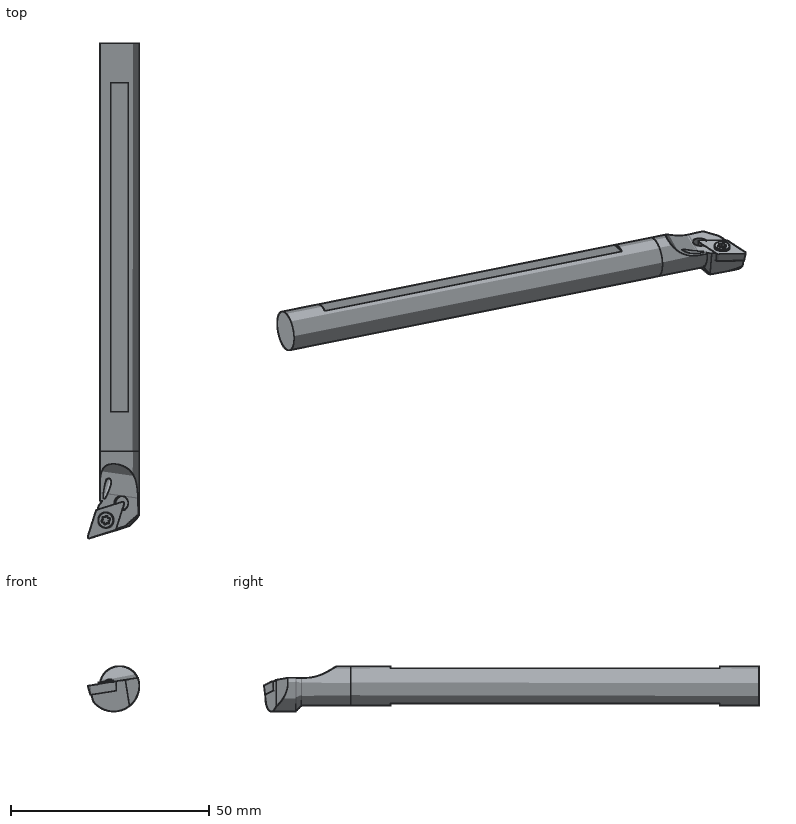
import cadquery as cq
import math


overall_length = 125.02
bar_radius = 5.0
head_length = 22.0
flat_length = 83.0
flat_end_margin = 10.0
flat_depth = 0.5

nose_radius = 6.5
nose_offset = bar_radius - nose_radius
nose_start = 8.0
nose_blend_length = 1.5

tip_reach = 8.06
lead_angle = 17.5
point_angle = 55.0
inscribed_circle = 6.35
insert_thickness = 2.38
clearance_angle = 7.0
corner_radius = 0.4
screw_hole_diameter = 2.8
countersink_diameter = 4.0
countersink_depth = 0.6

top_face_tilt = 9.0

left_wall_inset = 0.3
left_wall_lean = 6.0
left_wall_length = 8.9
rear_wall_angle = 52.0
corner_chamfer_start = 10.4
corner_chamfer_angle = 24.0
corner_relief_diameter = 3.6
corner_relief_inset_x = 1.1
corner_relief_inset_y = 0.25
pocket_radius = 10.0
pocket_distance = 10.9
pocket_skew = -8.0
coolant_diameter = 1.5
coolant_height = 1.0
coolant_x = -2.7
coolant_y = 14.5
coolant_angle = 73.0
coolant_rise = 5.0
coolant_front_run = 8.0
coolant_back_run = 9.0

head_diameter = 3.8
screw_diameter = 2.5
head_height = 0.4
screw_length = 5.0
socket_core_diameter = 1.5
socket_lobe_diameter = 0.7
socket_depth = 1.0
socket_lobes = 6

through_clearance = 1.0
beyond = 30.0

point_rad = math.radians(point_angle)
edge_length = inscribed_circle / math.sin(point_rad)
long_diagonal = 2 * edge_length * math.cos(point_rad / 2)
clearance_inset = insert_thickness * math.tan(math.radians(clearance_angle))

lead_rad = math.radians(lead_angle)
bisector_rad = lead_rad + point_rad / 2
corner_to_centre = corner_radius / math.sin(point_rad / 2)
sharp_x = -tip_reach - corner_to_centre * math.cos(bisector_rad) + corner_radius
sharp_y = corner_radius - corner_to_centre * math.sin(bisector_rad)

top_face_slope = math.tan(math.radians(top_face_tilt))


def tilted_direction(angle):
    """Direction lying in the tilted top face, at a plan angle in degrees from +X."""
    x = math.cos(math.radians(angle))
    y = math.sin(math.radians(angle))
    return cq.Vector(x, y, top_face_slope * x)


tilted_normal = cq.Vector(-top_face_slope, 0, 1).normalized()
insert_plane = cq.Plane(
    origin=(sharp_x, sharp_y, 0), xDir=tilted_direction(lead_angle), normal=tilted_normal
)
insert_centre = (
    long_diagonal / 2 * math.cos(point_rad / 2),
    long_diagonal / 2 * math.sin(point_rad / 2),
)


def along_bar(x, y):
    """Work plane across the bar, facing the rear, at the given X and Y."""
    return cq.Workplane(cq.Plane(origin=(x, y, 0), xDir=(1, 0, 0), normal=(0, 1, 0)))


def on_insert(height=0.0):
    return cq.Workplane(insert_plane).workplane(offset=height)


def make_shank():
    length = overall_length - head_length
    shank = along_bar(0, head_length).circle(bar_radius).extrude(length)
    flat_middle = overall_length - flat_end_margin - flat_length / 2
    for side in (1, -1):
        flat = cq.Workplane("XY").box(2 * bar_radius, flat_length, 2 * flat_depth)
        shank = shank.cut(flat.translate((0, flat_middle, side * bar_radius)))
    return shank


def insert_blank():
    """Rhombic insert without its hole, tapering down from the top face."""
    shift = edge_length * math.cos(point_rad)
    rhombus = (
        cq.Sketch()
        .polygon(
            [
                (0, 0),
                (edge_length, 0),
                (edge_length + shift, inscribed_circle),
                (shift, inscribed_circle),
                (0, 0),
            ]
        )
        .vertices()
        .fillet(corner_radius)
    )
    return on_insert().placeSketch(rhombus).extrude(-insert_thickness, taper=clearance_angle)


def countersunk_body(head_width, stem_width, length):
    """Countersunk head flush with the top face, on a stem."""
    profile = [
        (0, 0),
        (head_width / 2, 0),
        (stem_width / 2, -countersink_depth),
        (stem_width / 2, -length),
        (0, -length),
    ]
    axis_plane = cq.Plane(
        origin=insert_plane.toWorldCoords(insert_centre),
        xDir=insert_plane.xDir,
        normal=insert_plane.yDir * -1,
    )
    return cq.Workplane(axis_plane).polyline(profile).close().revolve(360, (0, 0), (0, 1))


def make_insert():
    hole = countersunk_body(countersink_diameter, screw_hole_diameter, insert_thickness + through_clearance)
    return insert_blank().cut(hole)


def make_screw():
    """Screw with a raised flat head and a six-lobe socket."""
    screw = countersunk_body(head_diameter, screw_diameter, screw_length)
    top = on_insert().center(*insert_centre).circle(head_diameter / 2).extrude(head_height)
    screw = screw.union(top)
    socket_top = on_insert(head_height).center(*insert_centre)
    socket = socket_top.circle(socket_core_diameter / 2).extrude(-socket_depth)
    lobes = socket_top.polarArray(socket_core_diameter / 2, 0, 360, socket_lobes)
    socket = socket.union(lobes.circle(socket_lobe_diameter / 2).extrude(-socket_depth))
    return screw.cut(socket)


def round_head():
    """Bar-sized rear of the head, and the enlarged nose blended into it."""
    rear_start = nose_start + nose_blend_length
    rear = along_bar(0, rear_start).circle(bar_radius).extrude(head_length - rear_start)
    nose = along_bar(nose_offset, sharp_y).circle(nose_radius).extrude(nose_start - sharp_y)
    blend = (
        along_bar(nose_offset, nose_start)
        .circle(nose_radius)
        .workplane(offset=nose_blend_length)
        .center(-nose_offset, 0)
        .circle(bar_radius)
        .loft(ruled=True)
    )
    return rear, nose.union(blend)


def front_walls():
    """Prism square to the top face, bounded by the front wall and the corner chamfer."""
    chamfer = math.radians(corner_chamfer_angle)
    far_x = corner_chamfer_start + beyond * math.cos(chamfer)
    far_y = clearance_inset + beyond * math.sin(chamfer)
    return (
        on_insert()
        .polyline(
            [
                (-beyond, clearance_inset),
                (corner_chamfer_start, clearance_inset),
                (far_x, far_y),
                (-beyond, far_y),
            ]
        )
        .close()
        .extrude(beyond, both=True)
    )


def left_cutter(x, y, angle, lean):
    """Block left of a wall at a plan angle through (x, y) of the insert plane, leaning inward below."""
    direction = tilted_direction(angle)
    outward = tilted_normal.cross(direction.normalized())
    normal = tilted_normal + outward * math.tan(math.radians(lean))
    plane = cq.Plane(origin=insert_plane.toWorldCoords((x, y)), xDir=direction, normal=normal)
    return cq.Workplane(plane).box(2 * beyond, beyond, 2 * beyond, centered=(True, False, True))


def trimmed_nose(nose):
    """Enlarged front trimmed by the front, left and left rear walls."""
    wall_x = left_wall_inset / math.sin(point_rad)
    end_x = wall_x + left_wall_length * math.cos(point_rad)
    end_y = left_wall_length * math.sin(point_rad)
    nose = nose.intersect(front_walls())
    nose = nose.cut(left_cutter(wall_x, 0, lead_angle + point_angle, left_wall_lean))
    return nose.cut(left_cutter(end_x, end_y, rear_wall_angle, left_wall_lean))


def chip_pocket():
    """Flat top face of the head, running back into a round run-out."""
    axis = tilted_direction(pocket_skew)
    back = tilted_normal.cross(axis)
    origin = (0, pocket_distance, -top_face_slope * sharp_x)
    plane = cq.Plane(origin=origin, xDir=back, normal=axis)
    arc_middle = pocket_radius * math.sqrt(0.5)
    return (
        cq.Workplane(plane)
        .moveTo(-beyond, 0)
        .lineTo(0, 0)
        .threePointArc((arc_middle, pocket_radius - arc_middle), (pocket_radius, pocket_radius))
        .lineTo(-beyond, pocket_radius)
        .close()
        .extrude(beyond, both=True)
    )


def coolant_hole():
    """Blind hole opening in the chip pocket, rising forward toward the insert tip."""
    plan = math.radians(coolant_angle)
    slope = math.tan(math.radians(coolant_rise))
    direction = cq.Vector(math.cos(plan), math.sin(plan), -slope).normalized()
    start = cq.Vector(coolant_x, coolant_y, coolant_height) - direction * coolant_front_run
    length = coolant_front_run + coolant_back_run
    hole = cq.Solid.makeCylinder(coolant_diameter / 2, length, start, direction)
    return cq.Workplane(hole)


def corner_relief():
    """Round clearance around the inner acute corner of the insert."""
    centre_x = 2 * insert_centre[0] - corner_relief_inset_x
    centre_y = 2 * insert_centre[1] - corner_relief_inset_y
    return (
        on_insert()
        .center(centre_x, centre_y)
        .circle(corner_relief_diameter / 2)
        .extrude(-insert_thickness)
    )


def make_head():
    rear, nose = round_head()
    head = rear.union(trimmed_nose(nose))
    head = head.cut(chip_pocket()).cut(coolant_hole())
    head = head.cut(insert_blank()).cut(corner_relief())
    return head.cut(countersunk_body(screw_diameter, screw_diameter, screw_length))


shank = make_shank()
head = make_head()
insert = make_insert()
screw = make_screw()
result = cq.Compound.makeCompound([shank.val(), head.val(), insert.val(), screw.val()])